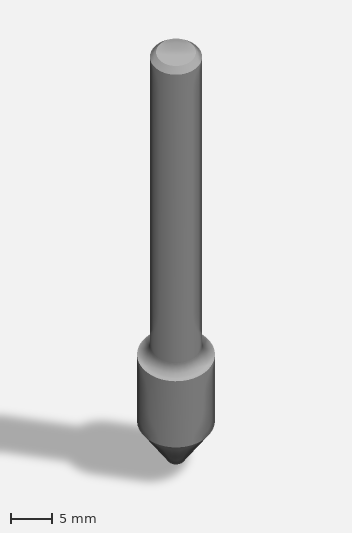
import cadquery as cq
import math

total_length = 68.3
shank_diameter = 6.35
collar_diameter = 9.5
tip_height = 6.35
tip_half_angle = 30.0
collar_length = 11.15
end_chamfer = 0.75

shank_radius = shank_diameter / 2
collar_radius = collar_diameter / 2
tip_end_radius = collar_radius - tip_height * math.tan(math.radians(tip_half_angle))
collar_top = tip_height + collar_length
shoulder_radius = collar_radius - shank_radius
shoulder_top = collar_top + shoulder_radius


def make_holder():
    """Shank and collar, joined by a concave quarter-round shoulder."""
    arc_offset = shoulder_radius * math.sin(math.radians(45))
    arc_middle = (collar_radius - arc_offset, shoulder_top - arc_offset)
    profile = (
        cq.Workplane("XZ")
        .moveTo(0, tip_height)
        .lineTo(collar_radius, tip_height)
        .lineTo(collar_radius, collar_top)
        .threePointArc(arc_middle, (shank_radius, shoulder_top))
        .lineTo(shank_radius, total_length)
        .lineTo(0, total_length)
        .close()
    )
    holder = profile.revolve(360, (0, 0), (0, 1))
    return holder.faces(">Z").edges().chamfer(end_chamfer)


def make_tip():
    """Truncated cone seated against the lower face of the collar."""
    profile = (
        cq.Workplane("YZ")
        .lineTo(tip_end_radius, 0)
        .lineTo(collar_radius, tip_height)
        .lineTo(0, tip_height)
        .close()
    )
    return profile.revolve(360, (0, 0), (0, 1))


holder = make_holder()
tip = make_tip()

result = cq.Compound.makeCompound([holder.val(), tip.val()])